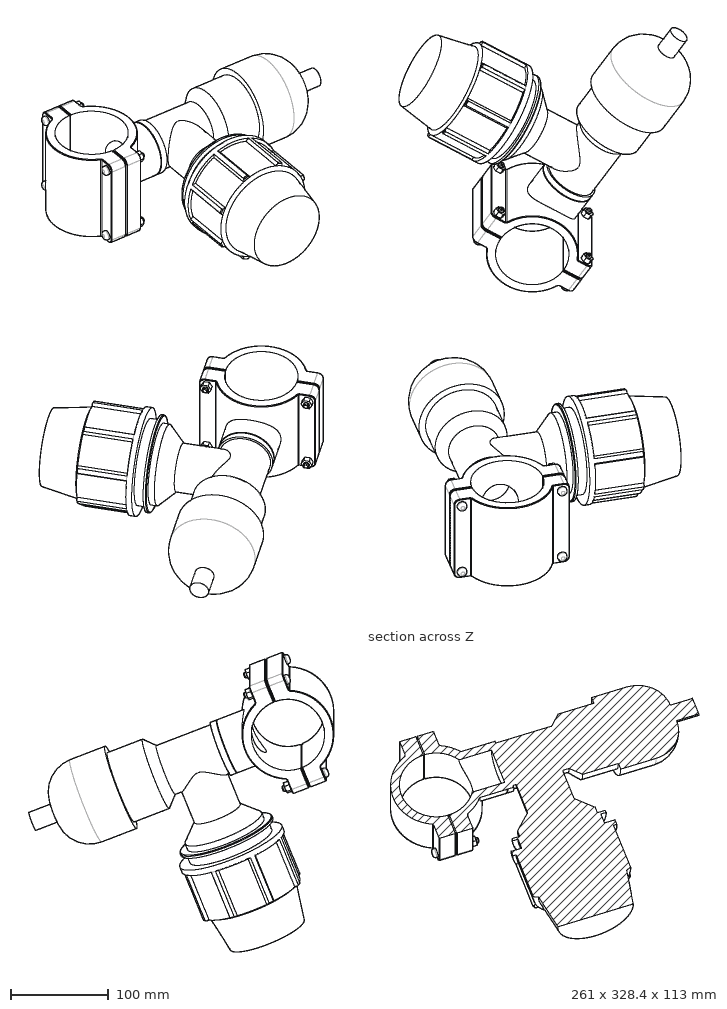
import cadquery as cq
import math


CLAMP_HEIGHT = 98.0
RING_OUTER_DIA = 94.0
RING_BORE_DIA = 75.0
EAR_HALF_SPAN = 61.0
EAR_HALF_DEPTH = 18.5
EAR_CORNER_RADIUS = 6.0
SPLIT_GAP = 1.0
EDGE_CHAMFER = 0.8

BOLT_EDGE_DISTANCE = 8.0
BOLT_DIA = 6.0
BOLT_TIP_LENGTH = 3.0
BOLT_TIP_CHAMFER = 1.0
HEAD_DIA = 10.0
HEAD_HEIGHT = 4.5
HEAD_ROUND = 3.0
NUT_FLATS = 10.0
NUT_HEIGHT = 5.5

OUTLET_DIA = 40.0
COLLAR_DIA = 58.3
COLLAR_END = 74.0
COLLAR_GROOVE_Y = 66.7
COLLAR_GROOVE_WIDTH = 0.6
COLLAR_GROOVE_DEPTH = 0.4
PIPE_DIA = 53.81
PIPE_END = 134.4
BODY_DIA = 76.24
BODY_START = 145.3
CAP_DIA = 90.4
CAP_START = 183.9
CAP_ROUND = 35.0
CAP_END = 257.3
STEM_DIA = 19.98
STEM_END = 281.38

SIDE_Y = 102.4
SIDE_PIPE_DIA = 50.85
SIDE_PIPE_END = 61.8
CONE_DIA = 84.75
CONE_END = 78.8
WASHER_DIA = 101.7
WASHER_START = 85.4
WASHER_END = 88.6
WASHER_CHAMFER = 0.9
NECK_DIA = 90.4
FLANGE_DIA = 113.0
FLANGE_START = 99.3
FLANGE_END = 105.5
GRIP_DIA = 106.0
GRIP_END = 158.0
TAPER_START_DIA = 96.0
TAPER_START = 160.0
TAPER_END_DIA = 82.0
SIDE_END = 200.0
RIB_COUNT = 8
RIB_TOP_WIDTH = 5.0
RIB_ROOT_WIDTH = 9.0
RIB_ROOT_DEPTH = 4.0
RIB_END_CHAMFER = 1.0


def cylinder_y(diameter, start, end):
    """Cylinder on the Y axis between two Y stations."""
    circle = cq.Workplane("XZ", origin=(0, start, 0)).circle(diameter / 2)
    return circle.extrude(start - end)


def clamp_half(side):
    """Half of the clamp, on the +Y (side = 1) or -Y (side = -1) side of the split."""
    ring = cq.Workplane("XY").circle(RING_OUTER_DIA / 2).extrude(CLAMP_HEIGHT / 2, both=True)
    ears = cq.Workplane("XY").box(2 * EAR_HALF_SPAN, 2 * EAR_HALF_DEPTH, CLAMP_HEIGHT)
    ears = ears.edges("|Y").fillet(EAR_CORNER_RADIUS)
    cut_depth = RING_OUTER_DIA
    keep = cq.Workplane("XY").box(2 * EAR_HALF_SPAN, cut_depth, CLAMP_HEIGHT)
    keep = keep.translate((0, side * (cut_depth + SPLIT_GAP) / 2, 0))
    half = ring.union(ears).intersect(keep)
    half = half.faces("|Z or |Y").chamfer(EDGE_CHAMFER)
    return half.cut(pipe_space())


def bolt(x, z):
    """Button-head bolt with its hexagon nut, the head on the -Y side."""
    head_end = -EAR_HALF_DEPTH - HEAD_HEIGHT
    nut_end = EAR_HALF_DEPTH + NUT_HEIGHT
    head = cylinder_y(HEAD_DIA, -EAR_HALF_DEPTH, head_end).faces("<Y").edges().fillet(HEAD_ROUND)
    shank = cylinder_y(BOLT_DIA, -EAR_HALF_DEPTH, nut_end + BOLT_TIP_LENGTH)
    shank = shank.faces(">Y").chamfer(BOLT_TIP_CHAMFER)
    corner_dia = NUT_FLATS / math.cos(math.pi / 6)
    nut = cq.Workplane("XZ", origin=(0, EAR_HALF_DEPTH, 0)).polygon(6, corner_dia).extrude(-NUT_HEIGHT)
    return shank.union(head).union(nut).translate((x, 0, z))


def main_branch():
    """Solid of revolution about Y, from the clamp centre to the tip of the stem."""
    cap_radius = CAP_DIA / 2
    shoulder_y = CAP_END - CAP_ROUND
    crown_radius = cap_radius - CAP_ROUND
    arc_reach = CAP_ROUND * math.sqrt(0.5)
    profile = (
        cq.Workplane("XY")
        .moveTo(0, 0)
        .lineTo(COLLAR_DIA / 2, 0)
        .lineTo(COLLAR_DIA / 2, COLLAR_END)
        .lineTo(PIPE_DIA / 2, COLLAR_END)
        .lineTo(PIPE_DIA / 2, PIPE_END)
        .lineTo(BODY_DIA / 2, BODY_START)
        .lineTo(BODY_DIA / 2, CAP_START)
        .lineTo(cap_radius, CAP_START)
        .lineTo(cap_radius, shoulder_y)
        .threePointArc((crown_radius + arc_reach, shoulder_y + arc_reach), (crown_radius, CAP_END))
        .lineTo(STEM_DIA / 2, CAP_END)
        .lineTo(STEM_DIA / 2, STEM_END)
        .lineTo(0, STEM_END)
        .close()
    )
    return profile.revolve(360, (0, 0, 0), (0, 1, 0))


def collar_groove():
    """Shallow ring around the collar, where it meets the clamp outlet."""
    floor_dia = COLLAR_DIA - 2 * COLLAR_GROOVE_DEPTH
    end = COLLAR_GROOVE_Y + COLLAR_GROOVE_WIDTH
    outer = cylinder_y(2 * COLLAR_DIA, COLLAR_GROOVE_Y, end)
    return outer.cut(cylinder_y(floor_dia, COLLAR_GROOVE_Y, end))


def side_branch():
    """Solid of revolution about the side axis: pipe, cone, washer, flange, grip and taper."""
    washer_radius = WASHER_DIA / 2
    profile = (
        cq.Workplane("XY")
        .moveTo(0, 0)
        .lineTo(0, SIDE_PIPE_DIA / 2)
        .lineTo(SIDE_PIPE_END, SIDE_PIPE_DIA / 2)
        .lineTo(CONE_END, CONE_DIA / 2)
        .lineTo(WASHER_START, CONE_DIA / 2)
        .lineTo(WASHER_START, washer_radius - WASHER_CHAMFER)
        .lineTo(WASHER_START + WASHER_CHAMFER, washer_radius)
        .lineTo(WASHER_END, washer_radius)
        .lineTo(WASHER_END, NECK_DIA / 2)
        .lineTo(FLANGE_START, NECK_DIA / 2)
        .lineTo(FLANGE_START, FLANGE_DIA / 2)
        .lineTo(FLANGE_END, FLANGE_DIA / 2)
        .lineTo(FLANGE_END, GRIP_DIA / 2)
        .lineTo(GRIP_END, GRIP_DIA / 2)
        .lineTo(TAPER_START, TAPER_START_DIA / 2)
        .lineTo(SIDE_END, TAPER_END_DIA / 2)
        .lineTo(SIDE_END, 0)
        .close()
    )
    branch = profile.revolve(360, (0, 0, 0), (1, 0, 0))
    pitch = 360 / RIB_COUNT
    for index in range(RIB_COUNT):
        branch = branch.union(grip_rib().rotate((0, 0, 0), (1, 0, 0), (index + 0.5) * pitch))
    return branch.translate((0, SIDE_Y, 0))


def grip_rib():
    """One grip rib of the compression nut, pointing along +Z, its flanks sloped."""
    top_z = FLANGE_DIA / 2
    root_z = top_z - RIB_ROOT_DEPTH
    rib_length = GRIP_END - FLANGE_END
    section = (
        cq.Workplane("YZ", origin=(FLANGE_END, 0, 0))
        .moveTo(-RIB_ROOT_WIDTH / 2, root_z)
        .lineTo(RIB_ROOT_WIDTH / 2, root_z)
        .lineTo(RIB_TOP_WIDTH / 2, top_z)
        .lineTo(-RIB_TOP_WIDTH / 2, top_z)
        .close()
    )
    rib = section.extrude(rib_length)
    rib = rib.edges(">X and >Z").chamfer(RIB_END_CHAMFER)
    envelope = cq.Workplane("YZ", origin=(FLANGE_END, 0, 0)).circle(top_z).extrude(rib_length)
    return rib.intersect(envelope)


def pipe_space():
    """Cylinder filling the clamp bore, cleared for the clamped pipe."""
    return cq.Workplane("XY").circle(RING_BORE_DIA / 2).extrude(CLAMP_HEIGHT, both=True)


def all_bolts():
    """The four clamp bolts, set in from the corners of the ears."""
    bolt_x = EAR_HALF_SPAN - BOLT_EDGE_DISTANCE
    bolt_z = CLAMP_HEIGHT / 2 - BOLT_EDGE_DISTANCE
    return [bolt(x, z) for x in (-bolt_x, bolt_x) for z in (-bolt_z, bolt_z)]


fitting = main_branch().cut(collar_groove()).union(side_branch())
fitting = fitting.cut(pipe_space())
assembly = fitting.union(clamp_half(1)).union(clamp_half(-1))
outlet = cylinder_y(OUTLET_DIA, 0, COLLAR_GROOVE_Y)
assembly = assembly.cut(outlet)
for clamp_bolt in all_bolts():
    assembly = assembly.union(clamp_bolt)

result = assembly